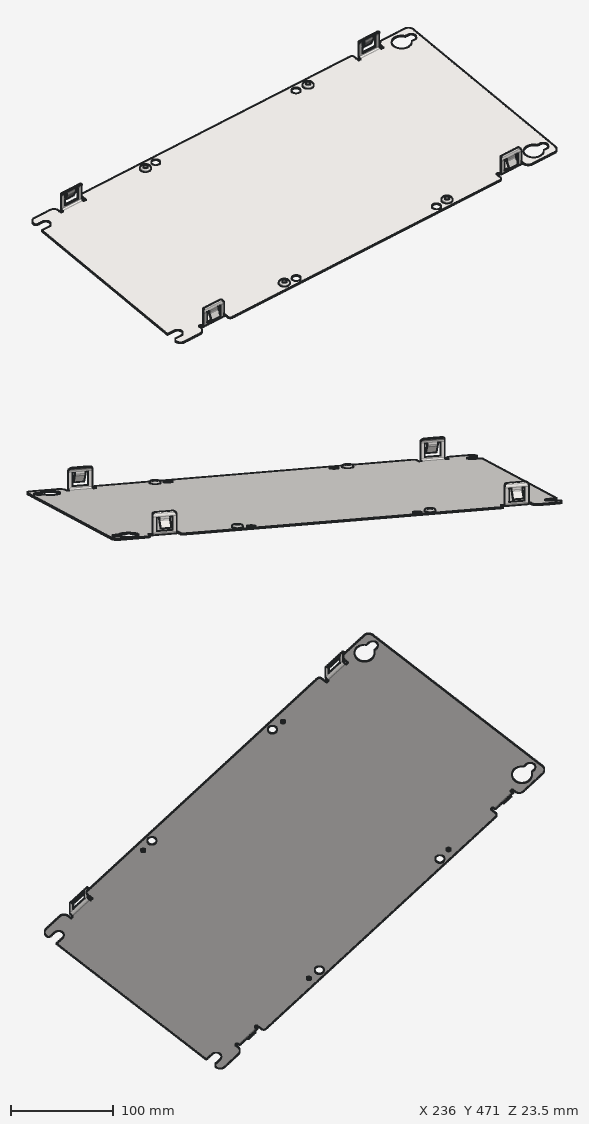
import cadquery as cq
import math


WIDTH = 236.0
LENGTH = 471.0
SHEET = 1.5
HALF_WIDTH = WIDTH / 2
HALF_LENGTH = LENGTH / 2
CORNER_RADIUS = 6.0
TOTAL_HEIGHT = 23.46

HANGER_X = 104.0
SLOT_WIDTH = 10.0
EAR_RADIUS = 2.9
KEYHOLE_DIAMETER = 19.5
KEYHOLE_Y = HALF_LENGTH - 20.8
KEYHOLE_NECK_Y = HALF_LENGTH - 8.8
OPEN_SLOT_CENTRE_Y = -HALF_LENGTH + 8.8

TAB_Y_POSITIONS = (180.3, -188.7)
NOTCH_LENGTH = 31.0
NOTCH_DEPTH = 9.7
NOTCH_END_RADIUS = 6.0
NOTCH_MIDDLE_RADIUS = 3.0

TAB_WIDTH = 25.4
WALL_INSET = 5.2
WALL_INNER = WALL_INSET + SHEET
BEND_INNER_RADIUS = 1.5
BEND_OUTER_RADIUS = BEND_INNER_RADIUS + SHEET
LIP_BEND_INNER_RADIUS = 3.5
LIP_BEND_OUTER_RADIUS = LIP_BEND_INNER_RADIUS + SHEET
LIP_STRAIGHT_HEIGHT = 1.4
LIP_ANGLE = math.radians(38)
LIP_CORNER_RADIUS = 4.0
WINDOW_WIDTH = 16.4
WINDOW_BOTTOM = 4.5
WINDOW_TOP = 17.8
TONGUE_WIDTH = 11.0
TONGUE_BEND_TOP = 16.6
TONGUE_BEND_RADIUS = 3.0
TONGUE_ANGLE = math.radians(26)
TONGUE_LENGTH = 8.2

BOSS_X = HALF_WIDTH - 8.6
BOSS_Y_POSITIONS = (102.9, -98.8)
BOSS_BASE_DIAMETER = 11.4
BOSS_TAPER = 25.0
BOSS_SHOULDER_RADIUS = 2.0
BOSS_HEIGHT = 2.4
BOSS_BORE = 4.4
HOLE_X = HALF_WIDTH - 7.4
HOLE_Y_POSITIONS = (89.0, -85.0)
HOLE_DIAMETER = 9.0

SIDES = (-1, 1)


def block(x_range, y_range, z_range):
    """Axis-aligned box spanning the given ranges."""
    size = [high - low for low, high in (x_range, y_range, z_range)]
    corner = (x_range[0], y_range[0], z_range[0])
    return cq.Workplane("XY").box(*size, centered=False).translate(corner)


def through_cylinder(x, y, diameter):
    """Cutter for a round hole through the sheet and anything standing on it."""
    return cq.Workplane("XY").center(x, y).circle(diameter / 2).extrude(TOTAL_HEIGHT)


def plate_blank():
    blank = cq.Workplane("XY").rect(WIDTH, LENGTH).extrude(SHEET)
    return blank.edges("|Z").fillet(CORNER_RADIUS)


def keyhole(side):
    x = side * HANGER_X
    head = through_cylinder(x, KEYHOLE_Y, KEYHOLE_DIAMETER)
    neck_end = through_cylinder(x, KEYHOLE_NECK_Y, SLOT_WIDTH)
    neck = block(
        (x - SLOT_WIDTH / 2, x + SLOT_WIDTH / 2), (KEYHOLE_Y, KEYHOLE_NECK_Y), (0, SHEET)
    )
    return head.union(neck).union(neck_end)


def corner_rounding(x, y, x_direction, y_direction, radius):
    """Cutter that rounds the plate corner at (x, y); the directions point into the plate."""
    square = cq.Workplane("XY").rect(radius, radius, centered=False).extrude(SHEET)
    disc = cq.Workplane("XY").center(radius, radius).circle(radius).extrude(SHEET)
    cutter = square.cut(disc)
    if x_direction < 0:
        cutter = cutter.mirror("YZ")
    if y_direction < 0:
        cutter = cutter.mirror("XZ")
    return cutter.translate((x, y, 0))


def open_slot(side):
    """Slot open to the -Y edge, rounded where it meets the narrow outer ear."""
    x = side * HANGER_X
    straight = block(
        (x - SLOT_WIDTH / 2, x + SLOT_WIDTH / 2), (-HALF_LENGTH, OPEN_SLOT_CENTRE_Y), (0, SHEET)
    )
    round_end = through_cylinder(x, OPEN_SLOT_CENTRE_Y, SLOT_WIDTH)
    ear_x = x + side * SLOT_WIDTH / 2
    ear_corner = corner_rounding(ear_x, -HALF_LENGTH, side, 1, EAR_RADIUS)
    return straight.union(round_end).union(ear_corner)


def notch(side, y):
    """Edge notch with rounded mouth corners, the larger one towards the nearer plate end."""
    edge_x = side * HALF_WIDTH
    floor_x = edge_x - side * NOTCH_DEPTH
    outward = math.copysign(1, y)
    end_y = y + outward * NOTCH_LENGTH / 2
    middle_y = y - outward * NOTCH_LENGTH / 2
    recess = block(sorted((edge_x, floor_x)), sorted((end_y, middle_y)), (0, SHEET))
    end_corner = corner_rounding(edge_x, end_y, -side, outward, NOTCH_END_RADIUS)
    middle_corner = corner_rounding(edge_x, middle_y, -side, -outward, NOTCH_MIDDLE_RADIUS)
    return recess.union(end_corner).union(middle_corner)


def arc_point(centre, radius, angle):
    """Point on a circle in the XZ plane, the angle measured from +X towards +Z."""
    return (centre[0] + radius * math.cos(angle), centre[1] + radius * math.sin(angle))


def tab_sheet(profile, width):
    """Extrude an XZ profile symmetrically about Y = 0."""
    return profile.close().extrude(width / 2, both=True)


def bent_strip():
    """Strip rising from the plate through the foot bend, up the wall and into the inward lip."""
    foot = (WALL_INSET + BEND_OUTER_RADIUS, BEND_OUTER_RADIUS)
    foot_middle = math.radians(225)

    lip_bend_height = LIP_BEND_OUTER_RADIUS * math.sin(LIP_ANGLE)
    lip_bend_z = TOTAL_HEIGHT - LIP_STRAIGHT_HEIGHT - lip_bend_height
    lip = (WALL_INSET + LIP_BEND_OUTER_RADIUS, lip_bend_z)
    lip_middle = math.pi - LIP_ANGLE / 2
    lip_end = math.pi - LIP_ANGLE
    lip_straight = LIP_STRAIGHT_HEIGHT / math.cos(LIP_ANGLE)
    tip = (lip[0] + lip_straight * math.sin(LIP_ANGLE), lip[1] + LIP_STRAIGHT_HEIGHT)

    profile = (
        cq.Workplane("XZ")
        .moveTo(NOTCH_DEPTH, 0)
        .lineTo(foot[0], 0)
        .threePointArc(arc_point(foot, BEND_OUTER_RADIUS, foot_middle), (WALL_INSET, foot[1]))
        .lineTo(WALL_INSET, lip_bend_z)
        .threePointArc(
            arc_point(lip, LIP_BEND_OUTER_RADIUS, lip_middle),
            arc_point(lip, LIP_BEND_OUTER_RADIUS, lip_end),
        )
        .lineTo(*arc_point(tip, LIP_BEND_OUTER_RADIUS, lip_end))
        .lineTo(*arc_point(tip, LIP_BEND_INNER_RADIUS, lip_end))
        .lineTo(*arc_point(lip, LIP_BEND_INNER_RADIUS, lip_end))
        .threePointArc(
            arc_point(lip, LIP_BEND_INNER_RADIUS, lip_middle),
            (WALL_INNER, lip_bend_z),
        )
        .lineTo(WALL_INNER, foot[1])
        .threePointArc(arc_point(foot, BEND_INNER_RADIUS, foot_middle), (foot[0], SHEET))
        .lineTo(NOTCH_DEPTH, SHEET)
    )
    return tab_sheet(profile, TAB_WIDTH)


def rounded_tab_outline():
    """Tab seen along X: a rectangle with its two upper corners rounded."""
    outline = block((0, 2 * NOTCH_DEPTH), (-TAB_WIDTH / 2, TAB_WIDTH / 2), (0, TOTAL_HEIGHT))
    return outline.edges("|X and >Z").fillet(LIP_CORNER_RADIUS)


def spring_tongue():
    """Tongue hanging from the window top, bent to slope outwards as it goes down."""
    centre = (WALL_INSET - TONGUE_BEND_RADIUS, TONGUE_BEND_TOP)
    inner_radius = TONGUE_BEND_RADIUS + SHEET
    middle = -TONGUE_ANGLE / 2
    end = -TONGUE_ANGLE
    tip = (
        centre[0] - TONGUE_LENGTH * math.sin(TONGUE_ANGLE),
        centre[1] - TONGUE_LENGTH * math.cos(TONGUE_ANGLE),
    )
    profile = (
        cq.Workplane("XZ")
        .moveTo(WALL_INSET, WINDOW_TOP)
        .lineTo(WALL_INSET, TONGUE_BEND_TOP)
        .threePointArc(
            arc_point(centre, TONGUE_BEND_RADIUS, middle), arc_point(centre, TONGUE_BEND_RADIUS, end)
        )
        .lineTo(*arc_point(tip, TONGUE_BEND_RADIUS, end))
        .lineTo(*arc_point(tip, inner_radius, end))
        .lineTo(*arc_point(centre, inner_radius, end))
        .threePointArc(arc_point(centre, inner_radius, middle), (WALL_INNER, TONGUE_BEND_TOP))
        .lineTo(WALL_INNER, WINDOW_TOP)
    )
    return tab_sheet(profile, TONGUE_WIDTH)


def clip_tab():
    """Tab for the -X edge, centred on Y = 0, with the plate edge at X = 0."""
    window = block(
        (WALL_INSET, WALL_INNER),
        (-WINDOW_WIDTH / 2, WINDOW_WIDTH / 2),
        (WINDOW_BOTTOM, WINDOW_TOP),
    )
    return bent_strip().intersect(rounded_tab_outline()).cut(window).union(spring_tongue())


def screw_boss(side, y):
    """Tapered boss with a rounded shoulder, standing on the plate."""
    base = cq.Workplane("XY", origin=(side * BOSS_X, y, SHEET)).circle(BOSS_BASE_DIAMETER / 2)
    boss = base.extrude(BOSS_HEIGHT, taper=BOSS_TAPER)
    return boss.faces(">Z").edges().fillet(BOSS_SHOULDER_RADIUS)


def build_part():
    part = plate_blank()
    left_tab = clip_tab().translate((-HALF_WIDTH, 0, 0))
    tabs = {-1: left_tab, 1: left_tab.mirror("YZ")}
    for side in SIDES:
        part = part.cut(keyhole(side)).cut(open_slot(side))
        for y in TAB_Y_POSITIONS:
            part = part.cut(notch(side, y)).union(tabs[side].translate((0, y, 0)))
        for y in BOSS_Y_POSITIONS:
            part = part.union(screw_boss(side, y))
            part = part.cut(through_cylinder(side * BOSS_X, y, BOSS_BORE))
        for y in HOLE_Y_POSITIONS:
            part = part.cut(through_cylinder(side * HOLE_X, y, HOLE_DIAMETER))
    return part


result = build_part()